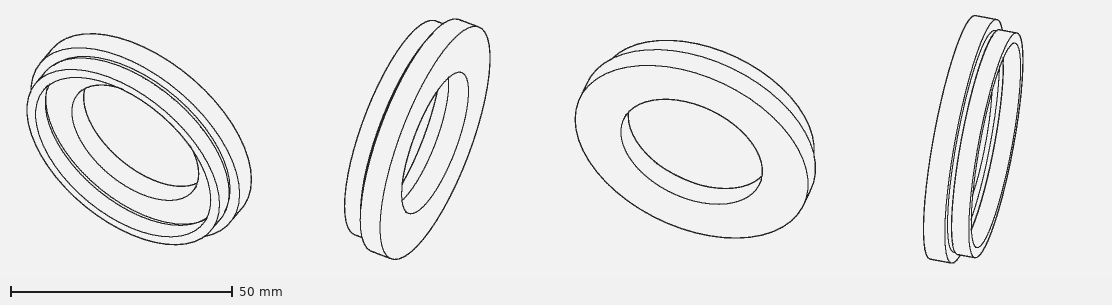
import cadquery as cq

flange_diameter = 56.0
total_width = 10.0

flange_width = 5.0
groove_width = 1.0
rim_diameter = 51.7
groove_diameter = 50.9

bore_diameter = 34.0
recess_diameter = 47.0
recess_depth = total_width - flange_width
undercut_diameter = 48.0

front_y = -total_width / 2
back_y = total_width / 2
flange_front_y = back_y - flange_width


def disc(diameter, start_y, width):
    """Solid disc centred on the Y axis, extending towards +Y from start_y."""
    plane = cq.Workplane("XZ", origin=(0, start_y, 0))
    return plane.circle(diameter / 2).extrude(-width)


flange = disc(flange_diameter, flange_front_y, flange_width)
neck = disc(groove_diameter, front_y, total_width)
rim_width = total_width - flange_width - groove_width
rim = disc(rim_diameter, front_y, rim_width)
body = flange.union(neck).union(rim)

bore = disc(bore_diameter, front_y, total_width)
recess = disc(recess_diameter, front_y, recess_depth)
undercut = disc(undercut_diameter, flange_front_y - groove_width, groove_width)
result = body.cut(bore).cut(recess).cut(undercut)